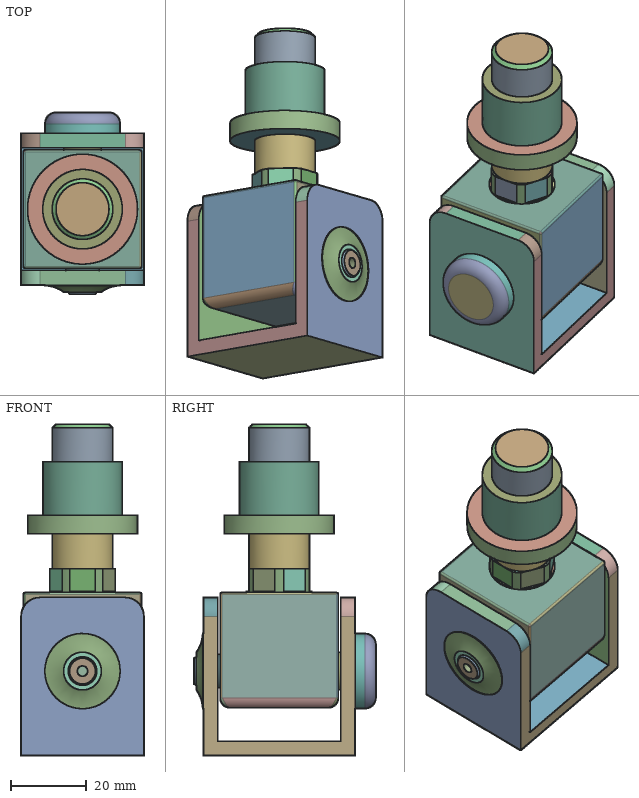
import cadquery as cq
import math

YOKE_WIDTH = 32.4
YOKE_DEPTH = 40.0
YOKE_HEIGHT = 41.7
YOKE_WALL = 3.85
EAR_CORNER_RADIUS = 5.0

BLOCK_SIDE = 31.2
BLOCK_BOTTOM = 12.6
BLOCK_TOP = 43.0
BLOCK_EDGE_RADIUS = 0.5
BLOCK_BOTTOM_RADIUS = 2.7

PIVOT_HEIGHT = 22.3
SHANK_DIAMETER = 10.0
NECK_DIAMETER = 8.9
HEAD_DIAMETER = 19.8
HEAD_HEIGHT = 5.5
HEAD_RADIUS = 3.0
FLARE_LIP = 0.2
FLARE_HEIGHT = 1.7
FLARE_RIM_DIAMETER = 10.0
TIP_DIAMETER = 6.8
TIP_BASE_DIAMETER = 7.5
TIP_HEIGHT = 0.6
TIP_BORE_DIAMETER = 2.7
TIP_BORE_DEPTH = 2.6

STUD_TOP = 87.4
STUD_DIAMETER = 16.0
STUD_END_DIAMETER = 14.0
COLLAR_DIAMETER = 21.0
COLLAR_TOP = 77.5
FLANGE_DIAMETER = 29.0
FLANGE_TOP = 63.4
FLANGE_BOTTOM = 58.5
FOOT_DIAMETER = 17.3
FOOT_TOP = 43.3
HEX_TOP = 49.3

EAR_OUTER_Y = YOKE_DEPTH / 2
EAR_INNER_Y = EAR_OUTER_Y - YOKE_WALL
BLOCK_FACE_Y = BLOCK_SIDE / 2
LIP_Y = -EAR_OUTER_Y - FLARE_LIP
RIM_Y = LIP_Y - FLARE_HEIGHT
TIP_Y = RIM_Y - TIP_HEIGHT


def cylinder_along_y(diameter, y_start, y_end):
    """Cylinder on the pivot axis, from y_start up to y_end."""
    plane = cq.Workplane("XZ", origin=(0, y_start, PIVOT_HEIGHT))
    return plane.circle(diameter / 2).extrude(y_start - y_end)


def cylinder_along_z(diameter, z_start, z_end):
    """Cylinder on the stud axis, from z_start up to z_end."""
    return cq.Workplane("XY").workplane(offset=z_start).circle(diameter / 2).extrude(z_end - z_start)


def make_shank():
    """Shank that fills the pivot holes: wide from the head through the block, then a narrower neck."""
    wide_part = cylinder_along_y(SHANK_DIAMETER, -BLOCK_FACE_Y, EAR_OUTER_Y)
    neck = cylinder_along_y(NECK_DIAMETER, -EAR_OUTER_Y, -BLOCK_FACE_Y)
    return wide_part.union(neck)


def make_yoke():
    envelope = cq.Workplane("XY").box(YOKE_WIDTH, YOKE_DEPTH, YOKE_HEIGHT, centered=(True, True, False))
    envelope = envelope.edges("|Y and >Z").fillet(EAR_CORNER_RADIUS)
    opening = (
        cq.Workplane("XY")
        .workplane(offset=YOKE_WALL)
        .box(YOKE_WIDTH, 2 * EAR_INNER_Y, YOKE_HEIGHT, centered=(True, True, False))
    )
    return envelope.cut(opening).cut(make_shank())


def make_block():
    body = (
        cq.Workplane("XY")
        .workplane(offset=BLOCK_BOTTOM)
        .box(BLOCK_SIDE, BLOCK_SIDE, BLOCK_TOP - BLOCK_BOTTOM, centered=(True, True, False))
    )
    body = body.edges("|Z or >Z").fillet(BLOCK_EDGE_RADIUS)
    body = body.faces("<Z").edges().fillet(BLOCK_BOTTOM_RADIUS)
    return body.cut(make_shank())


def make_head():
    """Button head against the +Y ear."""
    head = cylinder_along_y(HEAD_DIAMETER, EAR_OUTER_Y, EAR_OUTER_Y + HEAD_HEIGHT)
    return head.faces(">Y").edges().fillet(HEAD_RADIUS)


def make_flared_end():
    """Flared end: thin lip on the -Y ear, then a concave rise to a flat rim with a tapered tip."""
    outer = HEAD_DIAMETER / 2
    rim = FLARE_RIM_DIAMETER / 2
    run = outer - rim
    flare_radius = (run**2 + FLARE_HEIGHT**2) / (2 * FLARE_HEIGHT)
    half_sweep = math.asin(run / flare_radius) / 2
    flare_middle = (
        outer - flare_radius * math.sin(half_sweep),
        LIP_Y - flare_radius * (1 - math.cos(half_sweep)),
    )
    profile = (
        cq.Workplane("XY")
        .moveTo(0, -EAR_OUTER_Y)
        .lineTo(outer, -EAR_OUTER_Y)
        .lineTo(outer, LIP_Y)
        .threePointArc(flare_middle, (rim, RIM_Y))
        .lineTo(TIP_BASE_DIAMETER / 2, RIM_Y)
        .lineTo(TIP_DIAMETER / 2, TIP_Y)
        .lineTo(0, TIP_Y)
        .close()
    )
    return profile.revolve(360, (0, 0, 0), (0, 1, 0)).translate((0, 0, PIVOT_HEIGHT))


def make_rivet():
    bore = cylinder_along_y(TIP_BORE_DIAMETER, TIP_Y, TIP_Y + TIP_BORE_DEPTH)
    return make_shank().union(make_head()).union(make_flared_end()).cut(bore)


def make_hex():
    """Wrench hexagon as wide across flats as the stud, its corners rounded to the foot diameter."""
    across_corners = STUD_DIAMETER / math.cos(math.pi / 6)
    hexagon = (
        cq.Workplane("XY").workplane(offset=FOOT_TOP).polygon(6, across_corners).extrude(HEX_TOP - FOOT_TOP)
    )
    return hexagon.intersect(cylinder_along_z(FOOT_DIAMETER, FOOT_TOP, HEX_TOP))


def make_stud():
    shaft = cylinder_along_z(STUD_DIAMETER, BLOCK_TOP, STUD_TOP)
    shaft = shaft.faces(">Z").edges().chamfer((STUD_DIAMETER - STUD_END_DIAMETER) / 2)
    foot = cylinder_along_z(FOOT_DIAMETER, BLOCK_TOP, FOOT_TOP)
    flange = cylinder_along_z(FLANGE_DIAMETER, FLANGE_BOTTOM, FLANGE_TOP)
    collar = cylinder_along_z(COLLAR_DIAMETER, FLANGE_TOP, COLLAR_TOP)
    return shaft.union(foot).union(make_hex()).union(flange).union(collar)


yoke = make_yoke()
block = make_block()
rivet = make_rivet()
stud = make_stud()

result = cq.Compound.makeCompound([yoke.val(), block.val(), rivet.val(), stud.val()])